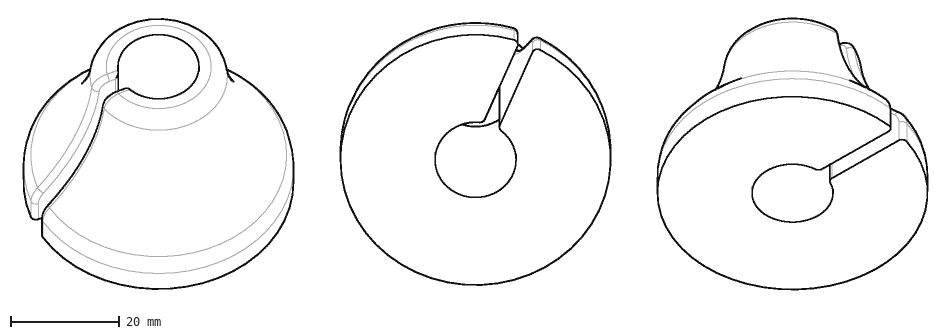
import cadquery as cq

base_radius = 25.0
height = 35.0

shoulder_height = 6.85
rim_radius = 12.5
flare_radius = 42.0

shoulder_fillet = 5.0
rim_fillet = 3.0

bore_radius = 7.5
slot_width = 3.0
slot_fillet = 1.0


def make_bell():
    """Revolve the flared outline, then round its shoulder and rim."""
    outline = (
        cq.Workplane("XZ")
        .lineTo(base_radius, 0)
        .lineTo(base_radius, shoulder_height)
        .radiusArc((rim_radius, height), flare_radius)
        .lineTo(0, height)
        .close()
    )
    bell = outline.revolve(360, (0, 0, 0), (0, 1, 0))
    bell = bell.faces(">Z").edges().fillet(rim_fillet)
    nearest_shoulder = cq.selectors.NearestToPointSelector((0, 0, shoulder_height))
    return bell.edges("%CIRCLE").edges(nearest_shoulder).fillet(shoulder_fillet)


def cut_bore(body):
    bore = cq.Workplane("XY").circle(bore_radius).extrude(height)
    return body.cut(bore)


def cut_slot(body):
    """Cut a slot from the axis outwards and round all its edges but the bottom ones."""
    slot = (
        cq.Workplane("XY")
        .center(0, -base_radius / 2)
        .rect(slot_width, base_radius)
        .extrude(height)
    )
    slotted = body.cut(slot)
    walls = slotted.faces("|X")
    return walls.edges("not <Z").fillet(slot_fillet)


result = cut_slot(cut_bore(make_bell()))